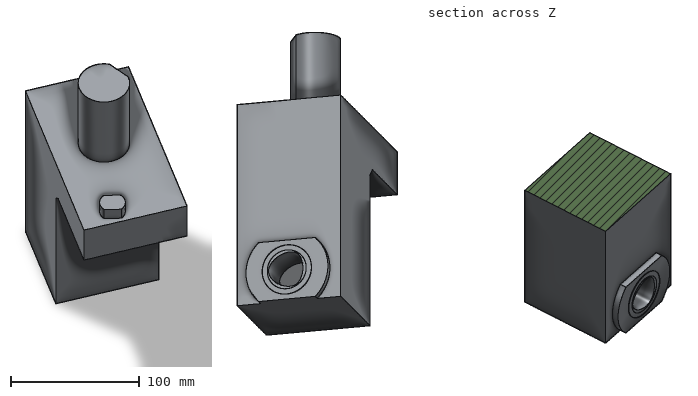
import cadquery as cq
import math


block_back = -70.0
arm_end = 82.0
block_width = 84.0
block_height = 164.0
column_front = 9.0
arm_thickness = 35.0
corner_relief = 6.0

shank_diameter = 40.0
shank_length = 70.0
flat_distance = 17.35
flat_start = 13.0
flat_angle = 120.0

pin_x = 70.0
pin_y = -15.0
pin_diameter = 20.0
pin_flat_width = 14.8
pin_height = 10.5
pin_turn = -15.0

socket_height = 24.0
collar_diameter = 66.5
collar_thickness = 5.5
seat_diameter = 40.0
seat_thickness = 0.5
recess_diameter = 31.6
recess_depth = 0.1

polygon_diameter = 28.0
polygon_eccentricity = 0.9
polygon_points = 72
bore_depth = 28.0
bore_taper = 1 / 20

socket_z = socket_height - block_height
collar_face = block_back - collar_thickness
seat_face = collar_face - seat_thickness


def make_block():
    outline = [
        (block_back, 0),
        (arm_end, 0),
        (arm_end, -arm_thickness),
        (column_front + corner_relief, -arm_thickness),
        (column_front, -arm_thickness - corner_relief),
        (column_front, -block_height),
        (block_back, -block_height),
    ]
    return cq.Workplane("XZ").polyline(outline).close().extrude(block_width / 2, both=True)


def make_shank():
    shank = cq.Workplane("XY").circle(shank_diameter / 2).extrude(shank_length)
    flat_cutter = (
        cq.Workplane("XY")
        .box(shank_diameter, shank_diameter, shank_length, centered=(False, True, False))
        .translate((flat_distance, 0, flat_start))
        .rotate((0, 0, 0), (0, 0, 1), flat_angle)
    )
    return shank.cut(flat_cutter)


def make_pin():
    flats = cq.Workplane("XY").rect(pin_flat_width, pin_diameter).extrude(pin_height)
    pin = cq.Workplane("XY").circle(pin_diameter / 2).extrude(pin_height).intersect(flats)
    return pin.rotate((0, 0, 0), (0, 0, 1), pin_turn).translate((pin_x, pin_y, 0))


def socket_plane(x):
    """Plane square to the socket axis, with local x along +Y and its normal into the block."""
    return cq.Workplane(cq.Plane(origin=(x, 0, socket_z), xDir=(0, 1, 0), normal=(1, 0, 0)))


def make_collar():
    collar = socket_plane(collar_face).circle(collar_diameter / 2).extrude(collar_thickness)
    flats = socket_plane(collar_face).rect(collar_diameter, 2 * socket_height).extrude(collar_thickness)
    seat = socket_plane(seat_face).circle(seat_diameter / 2).extrude(seat_thickness)
    return collar.intersect(flats).union(seat)


def lobed_section(x, diameter):
    """Closed three-lobed curve with one lobe pointing to +Y."""
    points = []
    for step in range(polygon_points):
        turn = 2 * math.pi * step / polygon_points
        across = (
            diameter / 2 * math.cos(turn)
            - 2 * polygon_eccentricity * math.cos(2 * turn)
            + polygon_eccentricity * math.cos(4 * turn)
        )
        up = (
            diameter / 2 * math.sin(turn)
            + 2 * polygon_eccentricity * math.sin(2 * turn)
            + polygon_eccentricity * math.sin(4 * turn)
        )
        points.append(cq.Vector(x, -across, socket_z + up))
    return cq.Wire.assembleEdges([cq.Edge.makeSpline(points, periodic=True)])


def make_bore():
    mouth = lobed_section(seat_face, polygon_diameter)
    floor = lobed_section(seat_face + bore_depth, polygon_diameter - bore_depth * bore_taper)
    recess = socket_plane(seat_face).circle(recess_diameter / 2).extrude(recess_depth)
    return recess.union(cq.Workplane(cq.Solid.makeLoft([mouth, floor], True)))


result = (
    make_block()
    .union(make_shank())
    .union(make_pin())
    .union(make_collar())
    .cut(make_bore())
)